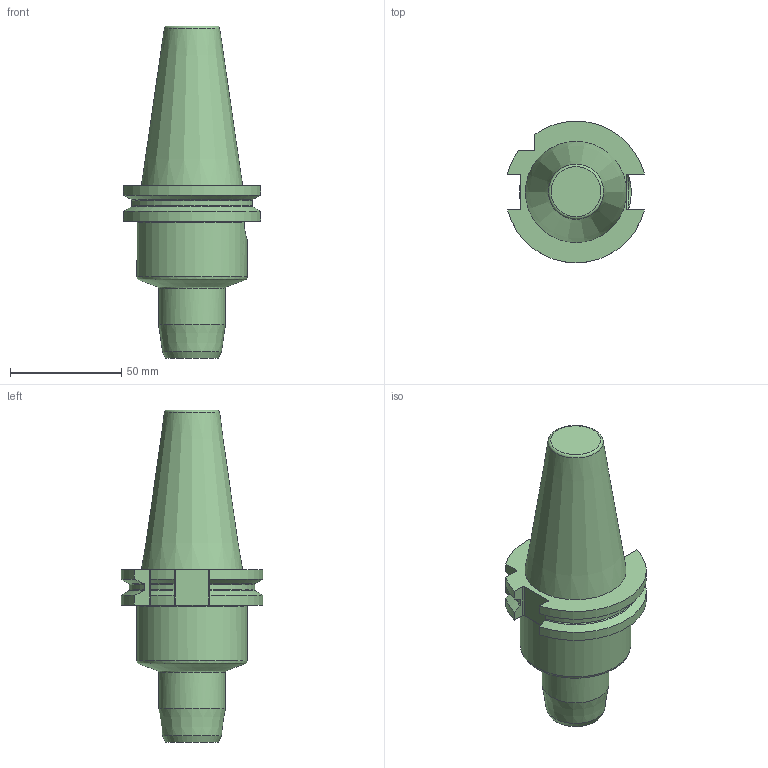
import cadquery as cq
import math

GAUGE_DIAMETER = 44.45
TAPER_RATIO = 7 / 24
TAPER_LENGTH = 68.4
TAPER_END_RADIUS = 1.2

FLANGE_DIAMETER = 63.55
FLANGE_TOP = -3.2
FLANGE_BOTTOM = -19.1
GROOVE_CENTER = -11.1
GROOVE_FLOOR_DIAMETER = 56.25
GROOVE_MOUTH_WIDTH = 7.2
GROOVE_FLANK_ANGLE = 30.0

ROOT_RADIUS = 0.6

KEYWAY_WIDTH = 16.1
LEFT_KEYWAY_DEPTH = 25.0
RIGHT_KEYWAY_DEPTH = 22.8
KEYWAY_END_CENTER = -19.6
CUT_CORNER_RADIUS = 0.6
NOTCH_OFFSET = 18.5

BODY_DIAMETER = 49.5
BODY_EDGE_RADIUS = 1.5
SHOULDER_ANGLE = 20.0
SHOULDER_BOTTOM = -48.7
NOSE_DIAMETER = 30.0
NOSE_TAPER_TOP = -65.3
NOSE_TAPER_ANGLE = 8.0
NOSE_CHAMFER_HEIGHT = 2.7
NOSE_CHAMFER_ANGLE = 25.0
NOSE_BOTTOM = -80.5


def tan_deg(angle):
    return math.tan(math.radians(angle))


def taper_radius(z):
    return (GAUGE_DIAMETER - TAPER_RATIO * z) / 2


def level_circle(z):
    """Selector for the circular edges of the turned body at height z."""
    reach = FLANGE_DIAMETER
    tolerance = 0.01
    return cq.selectors.BoxSelector(
        (-reach, -reach, z - tolerance),
        (reach, reach, z + tolerance),
        boundingbox=True,
    )


def turned_body():
    """Revolve the complete outline, from the taper end down to the nose."""
    flange_radius = FLANGE_DIAMETER / 2
    groove_radius = GROOVE_FLOOR_DIAMETER / 2
    mouth_half = GROOVE_MOUTH_WIDTH / 2
    floor_half = mouth_half - (flange_radius - groove_radius) * tan_deg(GROOVE_FLANK_ANGLE)

    body_radius = BODY_DIAMETER / 2
    nose_radius = NOSE_DIAMETER / 2
    body_bottom = SHOULDER_BOTTOM + (body_radius - nose_radius) * tan_deg(SHOULDER_ANGLE)

    chamfer_top = NOSE_BOTTOM + NOSE_CHAMFER_HEIGHT
    chamfer_radius = nose_radius - (NOSE_TAPER_TOP - chamfer_top) * tan_deg(NOSE_TAPER_ANGLE)
    tip_radius = chamfer_radius - NOSE_CHAMFER_HEIGHT * tan_deg(NOSE_CHAMFER_ANGLE)

    outline = [
        (0, TAPER_LENGTH),
        (taper_radius(TAPER_LENGTH), TAPER_LENGTH),
        (taper_radius(FLANGE_TOP), FLANGE_TOP),
        (flange_radius, FLANGE_TOP),
        (flange_radius, GROOVE_CENTER + mouth_half),
        (groove_radius, GROOVE_CENTER + floor_half),
        (groove_radius, GROOVE_CENTER - floor_half),
        (flange_radius, GROOVE_CENTER - mouth_half),
        (flange_radius, FLANGE_BOTTOM),
        (body_radius, FLANGE_BOTTOM),
        (body_radius, body_bottom),
        (nose_radius, SHOULDER_BOTTOM),
        (nose_radius, NOSE_TAPER_TOP),
        (chamfer_radius, chamfer_top),
        (tip_radius, NOSE_BOTTOM),
        (0, NOSE_BOTTOM),
    ]
    body = cq.Workplane("XZ").polyline(outline).close().revolve(360, (0, 0, 0), (0, 1, 0))

    body = body.edges(level_circle(body_bottom)).fillet(BODY_EDGE_RADIUS)
    body = body.edges(level_circle(SHOULDER_BOTTOM)).fillet(ROOT_RADIUS)
    for z in (GROOVE_CENTER + floor_half, GROOVE_CENTER - floor_half):
        body = body.edges(level_circle(z)).fillet(ROOT_RADIUS)
    at_flange_root = cq.selectors.RadiusNthSelector(0)
    body = body.edges(level_circle(FLANGE_BOTTOM)).edges(at_flange_root).fillet(ROOT_RADIUS)
    return body.faces(">Z").edges().fillet(TAPER_END_RADIUS)


def left_keyway():
    """Straight keyway on the -X side, through the full flange thickness."""
    cutter = cq.Workplane("XY", origin=(0, 0, FLANGE_BOTTOM)).box(
        FLANGE_DIAMETER,
        KEYWAY_WIDTH,
        FLANGE_TOP - FLANGE_BOTTOM,
        centered=(True, True, False),
    )
    cutter = cutter.edges("|Z and >X").fillet(CUT_CORNER_RADIUS)
    return cutter.translate((-LEFT_KEYWAY_DEPTH - FLANGE_DIAMETER / 2, 0, 0))


def right_keyway():
    """Deeper keyway on the +X side that runs out in a round end below the flange."""
    half_width = KEYWAY_WIDTH / 2
    cutter = (
        cq.Workplane("YZ", origin=(RIGHT_KEYWAY_DEPTH, 0, 0))
        .moveTo(half_width, FLANGE_TOP)
        .lineTo(half_width, KEYWAY_END_CENTER)
        .threePointArc((0, KEYWAY_END_CENTER - half_width), (-half_width, KEYWAY_END_CENTER))
        .lineTo(-half_width, FLANGE_TOP)
        .close()
        .extrude(FLANGE_DIAMETER)
    )
    return cutter.faces("<X").edges("not >Z").fillet(CUT_CORNER_RADIUS)


def orientation_notch():
    """Square notch in the (-X, +Y) quadrant of the flange."""
    size = FLANGE_DIAMETER / 2
    cutter = cq.Workplane("XY").box(
        size,
        size,
        FLANGE_TOP - FLANGE_BOTTOM,
        centered=False,
    )
    cutter = cutter.edges("|Z and >X and <Y").fillet(CUT_CORNER_RADIUS)
    return cutter.translate((-NOTCH_OFFSET - size, NOTCH_OFFSET, FLANGE_BOTTOM))


result = turned_body().cut(left_keyway()).cut(right_keyway()).cut(orientation_notch())